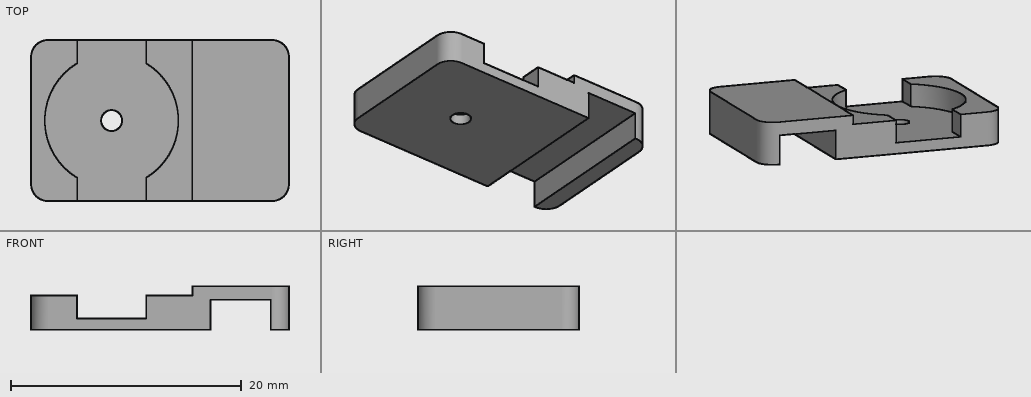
import cadquery as cq

length = 22.4
width = 14.0
corner_radius = 1.5

floor_height = 1.0
body_height = 3.0
top_height = 3.8

deck_start = 14.0
channel_start = 15.6
channel_height = 2.6
end_wall = 1.6
channel_end = length - end_wall

pocket_center = 7.0
pocket_diameter = 11.6
slot_width = 6.0
hole_diameter = 1.8


def make_body():
    """Stepped side profile extruded across the width, with rounded vertical corners."""
    profile = [
        (0, 0),
        (channel_start, 0),
        (channel_start, channel_height),
        (channel_end, channel_height),
        (channel_end, 0),
        (length, 0),
        (length, top_height),
        (deck_start, top_height),
        (deck_start, body_height),
        (0, body_height),
    ]
    stepped = cq.Workplane("XZ").polyline(profile).close().extrude(width / 2, both=True)
    outline = (
        cq.Workplane("XY")
        .center(length / 2, 0)
        .rect(length, width)
        .extrude(top_height)
        .edges("|Z")
        .fillet(corner_radius)
    )
    return stepped.intersect(outline)


def make_recess():
    """Round pocket joined with a slot that runs out through both long sides."""
    floor = cq.Workplane("XY", origin=(pocket_center, 0, floor_height))
    depth = body_height - floor_height
    pocket = floor.circle(pocket_diameter / 2).extrude(depth)
    slot = floor.rect(slot_width, width).extrude(depth)
    return pocket.union(slot)


def make_hole():
    """Through hole in the pocket floor."""
    return cq.Workplane("XY").center(pocket_center, 0).circle(hole_diameter / 2).extrude(body_height)


result = make_body().cut(make_recess()).cut(make_hole())